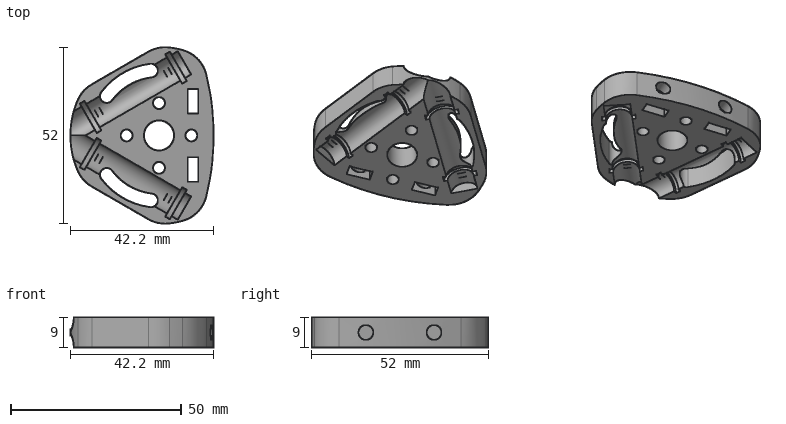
import cadquery as cq
import math

THICKNESS = 9.0
OUTER_RADIUS = 26.1
FLANK_DISTANCE = 22.9
BLEND_RADIUS = 10.0
BACK_X = 16.1
BACK_RADIUS = 74.8

FLANK_ANGLE = 30.0
CHANNEL_OFFSET = 14.75
CHANNEL_RADIUS = 3.95
CHANNEL_END = 17.15
CHANNEL_LENGTH = 51.95
GROOVE_RADIUS = 5.0
GROOVE_WIDTH = 1.55
TOP_GROOVES = (-14.7, 14.3)
BOTTOM_GROOVES = (-11.9, 11.5)

SLOT_RADIUS = 19.2
SLOT_WIDTH = 3.95
SLOT_HALF_ANGLE = 23.0

BORE_DIAMETER = 8.8
BOLT_DIAMETER = 3.45
BOLT_CIRCLE_RADIUS = 9.5
BOLT_COUNT = 4

NUT_X = 10.05
NUT_Y = 10.05
NUT_WIDTH = 3.0
NUT_LENGTH = 7.1
SCREW_DIAMETER = 4.35


def polar(radius, degrees):
    angle = math.radians(degrees)
    return (radius * math.cos(angle), radius * math.sin(angle))


def flank_point(along, outward):
    """Point on the +Y flank given along and square to that flank."""
    angle = math.radians(FLANK_ANGLE)
    x = along * math.cos(angle) - outward * math.sin(angle)
    y = along * math.sin(angle) + outward * math.cos(angle)
    return (x, y)


def arc_middle(center, start, end):
    """Middle of the shorter arc from start to end."""
    dx = (start[0] + end[0]) / 2 - center[0]
    dy = (start[1] + end[1]) / 2 - center[1]
    radius = math.dist(center, start)
    scale = radius / math.hypot(dx, dy)
    return (center[0] + dx * scale, center[1] + dy * scale)


def make_plate():
    blend_circle = OUTER_RADIUS - BLEND_RADIUS
    to_rim = OUTER_RADIUS / blend_circle
    blend_outward = FLANK_DISTANCE - BLEND_RADIUS
    blend_along = math.sqrt(blend_circle**2 - blend_outward**2)
    front_blend = flank_point(-blend_along, blend_outward)
    side_blend = flank_point(blend_along, blend_outward)

    back_center = (BACK_X - BACK_RADIUS, 0)
    reach = BACK_RADIUS - BLEND_RADIUS
    back_blend_x = (blend_circle**2 + back_center[0] ** 2 - reach**2) / (2 * back_center[0])
    back_blend_y = math.sqrt(blend_circle**2 - back_blend_x**2)
    back_blend = (back_blend_x, back_blend_y)
    to_back = BACK_RADIUS / reach

    front_start = (-OUTER_RADIUS, 0)
    front_end = (front_blend[0] * to_rim, front_blend[1] * to_rim)
    flank_start = flank_point(-blend_along, FLANK_DISTANCE)
    flank_end = flank_point(blend_along, FLANK_DISTANCE)
    corner_start = (side_blend[0] * to_rim, side_blend[1] * to_rim)
    corner_end = (back_blend_x * to_rim, back_blend_y * to_rim)
    back_start = (back_center[0] + (back_blend_x - back_center[0]) * to_back, back_blend_y * to_back)
    back_end = (BACK_X, 0)

    half = (
        cq.Workplane("XY")
        .moveTo(*front_start)
        .threePointArc(arc_middle((0, 0), front_start, front_end), front_end)
        .threePointArc(arc_middle(front_blend, front_end, flank_start), flank_start)
        .lineTo(*flank_end)
        .threePointArc(arc_middle(side_blend, flank_end, corner_start), corner_start)
        .threePointArc(arc_middle((0, 0), corner_start, corner_end), corner_end)
        .threePointArc(arc_middle(back_blend, corner_end, back_start), back_start)
        .threePointArc(arc_middle(back_center, back_start, back_end), back_end)
        .close()
        .extrude(THICKNESS)
    )
    return half.union(half.mirror("XZ"))


def flank_cylinder(start, length, radius, z):
    """Cylinder lying along the +Y channel axis."""
    x, y = flank_point(start, CHANNEL_OFFSET)
    direction = cq.Vector(*polar(1, FLANK_ANGLE), 0)
    return cq.Workplane(cq.Solid.makeCylinder(radius, length, cq.Vector(x, y, z), direction))


def make_channel(z, groove_centers):
    channel = flank_cylinder(CHANNEL_END - CHANNEL_LENGTH, CHANNEL_LENGTH, CHANNEL_RADIUS, z)
    keep = cq.Workplane("XY").box(2 * CHANNEL_LENGTH, CHANNEL_LENGTH, 2 * CHANNEL_LENGTH,
                                  centered=(True, False, True))
    channel = channel.intersect(keep)
    for center in groove_centers:
        groove = flank_cylinder(center - GROOVE_WIDTH / 2, GROOVE_WIDTH, GROOVE_RADIUS, z)
        channel = channel.union(groove)
    return channel


def make_curved_slot():
    middle = 90 + FLANK_ANGLE
    first = middle - SLOT_HALF_ANGLE
    last = middle + SLOT_HALF_ANGLE
    inner = SLOT_RADIUS - SLOT_WIDTH / 2
    outer = SLOT_RADIUS + SLOT_WIDTH / 2
    band = (
        cq.Workplane("XY")
        .moveTo(*polar(inner, first))
        .lineTo(*polar(outer, first))
        .threePointArc(polar(outer, middle), polar(outer, last))
        .lineTo(*polar(inner, last))
        .threePointArc(polar(inner, middle), polar(inner, first))
        .close()
        .extrude(THICKNESS)
    )
    ends = (
        cq.Workplane("XY")
        .pushPoints([polar(SLOT_RADIUS, first), polar(SLOT_RADIUS, last)])
        .circle(SLOT_WIDTH / 2)
        .extrude(THICKNESS)
    )
    return band.union(ends)


def make_nut_pocket():
    pocket = cq.Workplane("XY").center(NUT_X, NUT_Y).rect(NUT_WIDTH, NUT_LENGTH).extrude(THICKNESS)
    screw = (
        cq.Workplane("YZ", origin=(NUT_X, NUT_Y, THICKNESS / 2))
        .circle(SCREW_DIAMETER / 2)
        .extrude(BACK_X - NUT_X)
    )
    return pocket.union(screw)


def make_holes():
    bore = cq.Workplane("XY").circle(BORE_DIAMETER / 2).extrude(THICKNESS)
    bolts = (
        cq.Workplane("XY")
        .polarArray(BOLT_CIRCLE_RADIUS, 0, 360, BOLT_COUNT)
        .circle(BOLT_DIAMETER / 2)
        .extrude(THICKNESS)
    )
    return bore.union(bolts)


result = make_plate().cut(make_holes())
side_cuts = [
    make_channel(THICKNESS, TOP_GROOVES),
    make_channel(0, BOTTOM_GROOVES),
    make_curved_slot(),
    make_nut_pocket(),
]
for cutter in side_cuts:
    result = result.cut(cutter).cut(cutter.mirror("XZ"))